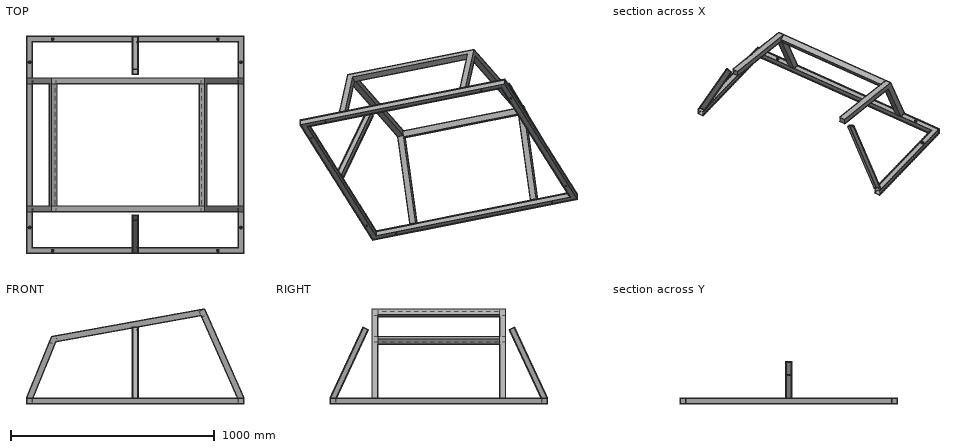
import cadquery as cq
import math

base_side = 1067.0
height = 466.0
tube = 30.0
wall = 3.0
half_side = base_side / 2
cavity = tube - 2 * wall

low_foot = (-half_side, tube)
low_corner = (-411.0, 331.0)
high_corner = (340.0, height)
high_foot = (half_side, tube)
hoop_outer_y = 329.0

post_lean = 25.0
post_length = 382.0

screw_diameter = 6.7
access_diameter = 13.0
hole_from_corner = 128.0


def square_prism(side, length):
    """Upright square prism centred on the Z axis, standing on Z = 0."""
    return cq.Workplane("XY").rect(side, side).extrude(length)


def square_ring(outer, inner, thickness):
    """Flat square ring centred on the Z axis, standing on Z = 0."""
    return cq.Workplane("XY").rect(outer, outer).rect(inner, inner).extrude(thickness)


def with_mirror(solid):
    """The solid together with its mirror image across the XZ plane."""
    return solid.union(solid.mirror("XZ"))


def base_frame():
    """Hollow square frame lying on Z = 0."""
    inner_side = base_side - 2 * tube
    frame = square_ring(base_side, inner_side, tube)
    hollow = square_ring(base_side - 2 * wall, inner_side + 2 * wall, cavity)
    return frame.cut(hollow.translate((0, 0, wall)))


def moved_inward(line):
    """Line from start to end, moved to its right by the tube width."""
    (start_x, start_z), (end_x, end_z) = line
    length = math.dist(*line)
    shift_x = tube * (end_z - start_z) / length
    shift_z = tube * (start_x - end_x) / length
    return (start_x + shift_x, start_z + shift_z), (end_x + shift_x, end_z + shift_z)


def crossing(first, second):
    """Point where two lines, each given by two points, cross."""
    (x1, z1), (x2, z2) = first
    (x3, z3), (x4, z4) = second
    first_dx, first_dz = x2 - x1, z2 - z1
    second_dx, second_dz = x4 - x3, z4 - z3
    determinant = first_dx * second_dz - first_dz * second_dx
    along = ((x3 - x1) * second_dz - (z3 - z1) * second_dx) / determinant
    return x1 + along * first_dx, z1 + along * first_dz


def hoop():
    """Mitred hoop on the +Y side: leg, roof rail and leg, standing on the base."""
    base_top = (low_foot, high_foot)
    low_leg = moved_inward((low_foot, low_corner))
    roof_rail = moved_inward((low_corner, high_corner))
    high_leg = moved_inward((high_corner, high_foot))
    outer_points = [low_foot, low_corner, high_corner, high_foot]
    inner_points = [
        crossing(base_top, high_leg),
        crossing(high_leg, roof_rail),
        crossing(roof_rail, low_leg),
        crossing(low_leg, base_top),
    ]
    plane = cq.Workplane("XZ", origin=(0, hoop_outer_y, 0))
    return plane.polyline(outer_points + inner_points).close().extrude(tube)


def cross_bar(corner, foot):
    """Bar joining the hoops at a roof corner, flush with the outer leg faces."""
    length = math.dist(corner, foot)
    down_x = tube * (foot[0] - corner[0]) / length
    down_z = tube * (foot[1] - corner[1]) / length
    turn = math.copysign(1, corner[0])
    in_x = turn * down_z
    in_z = -turn * down_x
    section = [
        corner,
        (corner[0] + down_x, corner[1] + down_z),
        (corner[0] + down_x + in_x, corner[1] + down_z + in_z),
        (corner[0] + in_x, corner[1] + in_z),
    ]
    half_length = hoop_outer_y - tube / 2
    return cq.Workplane("XZ").polyline(section).close().extrude(half_length, both=True)


def post():
    """Hollow post on the +Y side leaning inward, its square-cut top open."""
    foot_trim = tube * math.tan(math.radians(post_lean))
    full_length = post_length + foot_trim
    upright = square_prism(tube, full_length).cut(square_prism(cavity, full_length))
    leaning = upright.translate((0, half_side - tube / 2, tube - foot_trim)).rotate(
        (0, half_side, tube), (1, half_side, tube), post_lean
    )
    above_base = square_prism(base_side, height).translate((0, 0, tube))
    return leaning.intersect(above_base)


def screw_holes():
    """Cutters for two stepped holes in each side of the base frame."""
    along = half_side - hole_from_corner
    middle = half_side - tube / 2
    points = []
    for x_sign in (-1, 1):
        for y_sign in (-1, 1):
            points.append((x_sign * along, y_sign * middle))
            points.append((x_sign * middle, y_sign * along))
    bottom = cq.Workplane("XY").pushPoints(points).circle(screw_diameter / 2).extrude(tube)
    top_plane = cq.Workplane("XY", origin=(0, 0, tube - wall))
    top = top_plane.pushPoints(points).circle(access_diameter / 2).extrude(wall)
    return bottom.union(top)


result = base_frame().cut(screw_holes())
result = result.union(with_mirror(hoop()))
result = result.union(cross_bar(low_corner, low_foot))
result = result.union(cross_bar(high_corner, high_foot))
result = result.union(with_mirror(post()))